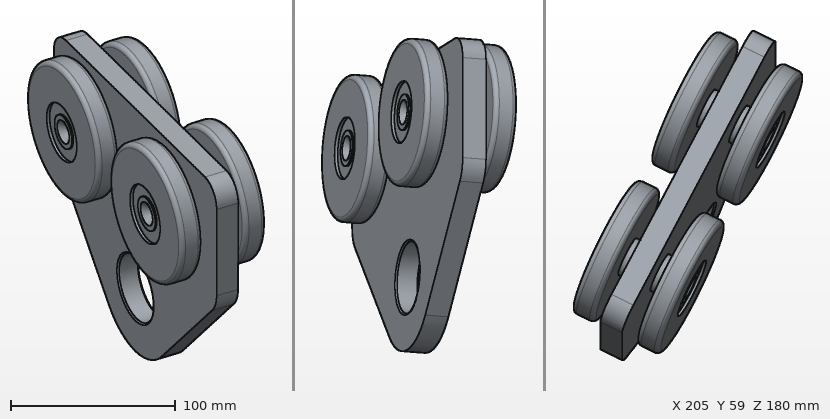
import cadquery as cq
import math

plate_width = 205.0
plate_thickness = 15.0
top_corner_radius = 15.0
side_corner_radius = 20.0
side_height = 85.0

eye_depth = 130.0
eye_diameter = 44.0
eye_chamfer = 1.0
lobe_radius = 45.0

wheel_diameter = 90.0
wheel_width = 15.0
wheel_edge_radius = 3.0
track_width = 59.0
axle_offset = 52.5
axle_depth = 40.0
hub_recess_diameter = 38.0
hub_recess_depth = 2.0

shoulder_diameter = 25.0
journal_diameter = 22.0
journal_inset = 1.0
center_hole_diameter = 15.2
center_hole_angle = 90.0

wheel_outer_y = track_width / 2
wheel_inner_y = wheel_outer_y - wheel_width
journal_end_y = wheel_outer_y - journal_inset


def cylinder_along_y(diameter, start_y, end_y, x, z):
    """Solid cylinder parallel to Y between two Y positions."""
    return cq.Workplane(cq.Solid.makeCylinder(
        diameter / 2, end_y - start_y, cq.Vector(x, start_y, z), cq.Vector(0, 1, 0)
    ))


def make_plate():
    """Plate tapering from its straight sides into a round lobe with the eye."""
    half_width = plate_width / 2
    drop = eye_depth - side_height
    corner_distance = math.hypot(half_width, drop)
    taper_angle = math.atan2(drop, half_width) + math.asin(lobe_radius / corner_distance)
    tangent_x = lobe_radius * math.sin(taper_angle)
    tangent_z = -eye_depth - lobe_radius * math.cos(taper_angle)

    plate = (
        cq.Workplane("XZ")
        .moveTo(-half_width, 0)
        .lineTo(half_width, 0)
        .lineTo(half_width, -side_height)
        .lineTo(tangent_x, tangent_z)
        .threePointArc((0, -eye_depth - lobe_radius), (-tangent_x, tangent_z))
        .lineTo(-half_width, -side_height)
        .close()
        .extrude(plate_thickness / 2, both=True)
    )
    for side in (-1, 1):
        for height, radius in ((0, top_corner_radius), (-side_height, side_corner_radius)):
            corner = cq.selectors.NearestToPointSelector((side * half_width, 0, height))
            plate = plate.edges("|Y").edges(corner).fillet(radius)

    eye = cylinder_along_y(eye_diameter, -plate_thickness / 2, plate_thickness / 2, 0, -eye_depth)
    return plate.cut(eye)


def chamfer_eye(plate):
    """Chamfer both rims of the lifting eye."""
    for side in (-1, 1):
        rim = cq.Solid.makeCone(
            eye_diameter / 2 + eye_chamfer, eye_diameter / 2, eye_chamfer,
            cq.Vector(0, side * plate_thickness / 2, -eye_depth), cq.Vector(0, -side, 0),
        )
        plate = plate.cut(cq.Workplane(rim))
    return plate


def make_axle(x):
    """Shouldered axle with a journal and a conical center hole at each end."""
    shoulder = cylinder_along_y(shoulder_diameter, -wheel_inner_y, wheel_inner_y, x, -axle_depth)
    journal = cylinder_along_y(journal_diameter, -journal_end_y, journal_end_y, x, -axle_depth)
    axle = shoulder.union(journal)
    cone_radius = center_hole_diameter / 2
    cone_depth = cone_radius / math.tan(math.radians(center_hole_angle / 2))
    for side in (-1, 1):
        cone = cq.Solid.makeCone(
            cone_radius, 0, cone_depth,
            cq.Vector(x, side * journal_end_y, -axle_depth), cq.Vector(0, -side, 0),
        )
        axle = axle.cut(cq.Workplane(cone))
    return axle


def make_carrier():
    """Plate and both axles as one body."""
    carrier = chamfer_eye(make_plate())
    for x in (-axle_offset, axle_offset):
        carrier = carrier.union(make_axle(x))
    return carrier


def make_wheel(x, side):
    """Rounded wheel with an outer hub recess and a bore that fits the journal."""
    inner_y = side * wheel_inner_y
    outer_y = side * wheel_outer_y
    floor_y = outer_y - side * hub_recess_depth
    start_y, end_y = sorted((inner_y, outer_y))
    wheel = cylinder_along_y(wheel_diameter, start_y, end_y, x, -axle_depth)
    wheel = wheel.faces("<Y or >Y").edges().fillet(wheel_edge_radius)
    bore = cylinder_along_y(journal_diameter, start_y, end_y, x, -axle_depth)
    recess = cylinder_along_y(hub_recess_diameter, *sorted((floor_y, outer_y)), x, -axle_depth)
    return wheel.cut(bore).cut(recess)


carrier = make_carrier()
wheels = [make_wheel(x, side) for x in (-axle_offset, axle_offset) for side in (-1, 1)]
result = cq.Compound.makeCompound([carrier.val(), *[wheel.val() for wheel in wheels]])